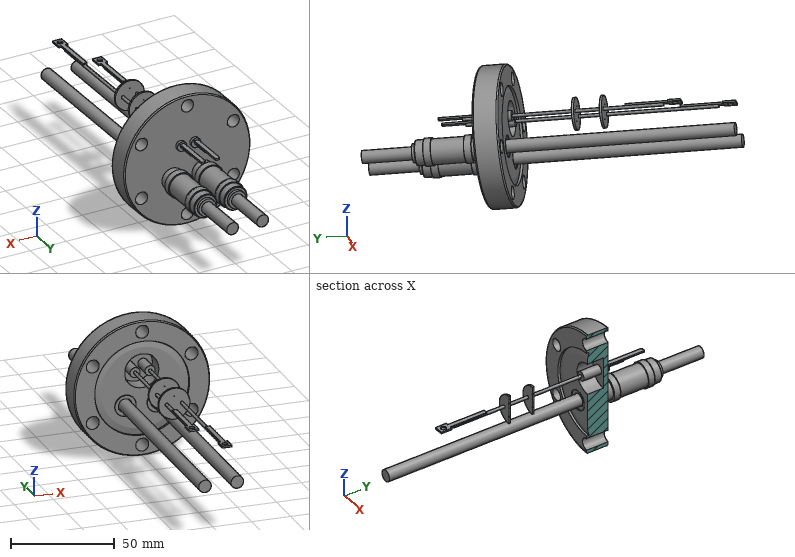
import cadquery as cq


flange_diameter = 69.8
flange_thickness = 12.7
edge_chamfer = 0.5
edge_chamfer_length = 0.7
bolt_count = 6
bolt_circle_diameter = 58.5
bolt_hole_diameter = 6.6

groove_diameter = 48.6
knife_edge_diameter = 41.8
knife_edge_depth = 0.5
groove_depth = 1.3

rod_offset_x = 8.3
rod_offset_z = -rod_offset_x
rod_diameter = 6.5
rod_front = -111.8
rod_length = 184.2
rod_recess_diameter = 10.9
rod_recess_depth = 0.5
rod_bore_diameter = 7.0
seal_chamfer = 0.4
neck_diameter = 11.6
ceramic_diameter = 12.7
ring_diameter = 13.8
collar_diameter = 9.4
neck_end = 17.5
lower_ring_end = 21.2
upper_ring_start = 37.5
upper_ring_end = 41.2
cap_end = 45.7
collar_end = 47.3

wire_offset_x = 3.9
wire_offset_z = 8.8
wire_diameter = 1.7
wire_back = 24.0
pocket_diameter = 17.5
pocket_depth = 9.2
insulator_diameter = 5.2
insulator_front = -0.5
insulator_back = 14.4

disc_diameter = 16.0
disc_thickness = 1.1
disc_fronts = (-31.7, -45.5)
pinhole_diameter = 0.2

terminal_thickness = 1.0
terminal_top_z = 10.3
strip_width = 2.4
back_terminal_end = 36.0
back_terminal_chamfer = 0.5
front_strip_length = 21.4
head_length = 6.3
head_width = 5.0
head_hole_diameter = 2.8
head_hole_setback = 3.0
wire_overlap = 19.0
front_terminal_starts = {-1: -56.3, 1: -82.0}


def cylinder(diameter, y_start, y_end, x=0, z=0):
    """Round bar along Y."""
    base = cq.Workplane("XZ", origin=(x, y_start, z))
    return base.circle(diameter / 2).extrude(y_start - y_end)


def plate(width, y_start, y_end, x):
    """Flat strip along Y at the height of the terminals."""
    return (
        cq.Workplane("XY", origin=(x, (y_start + y_end) / 2, terminal_top_z - terminal_thickness))
        .rect(width, abs(y_end - y_start))
        .extrude(terminal_thickness)
    )


def flange():
    """Bolted disc with the sealing groove, wire pocket and rod bores."""
    knife_radius = knife_edge_diameter / 2
    groove_radius = groove_diameter / 2
    rim_radius = flange_diameter / 2
    body = (
        cq.Workplane("XY")
        .moveTo(0, knife_edge_depth)
        .lineTo(knife_radius, knife_edge_depth)
        .lineTo(groove_radius, groove_depth)
        .lineTo(groove_radius, 0)
        .lineTo(rim_radius - edge_chamfer, 0)
        .lineTo(rim_radius, edge_chamfer_length)
        .lineTo(rim_radius, flange_thickness - edge_chamfer_length)
        .lineTo(rim_radius - edge_chamfer, flange_thickness)
        .lineTo(0, flange_thickness)
        .close()
        .revolve(360, (0, 0), (0, 1))
    )
    bolt_holes = (
        cq.Workplane("XZ")
        .polarArray(bolt_circle_diameter / 2, 90, 360, bolt_count)
        .circle(bolt_hole_diameter / 2)
        .extrude(-flange_thickness)
    )
    pocket = cylinder(pocket_diameter, 0, knife_edge_depth + pocket_depth, 0, wire_offset_z)
    body = body.cut(bolt_holes).cut(pocket)
    recess_floor = knife_edge_depth + rod_recess_depth
    for side in (-1, 1):
        x = side * rod_offset_x
        body = body.cut(cylinder(rod_recess_diameter, 0, recess_floor, x, rod_offset_z))
        body = body.cut(cylinder(rod_bore_diameter, 0, flange_thickness, x, rod_offset_z))
    return body


def tube_line(side):
    """Rod with its stepped ceramic seal, which closes the rod bore on the back of the flange."""
    x = side * rod_offset_x
    sections = (
        (rod_diameter, rod_front, rod_front + rod_length),
        (neck_diameter, flange_thickness, neck_end),
        (ring_diameter, neck_end, lower_ring_end),
        (ceramic_diameter, lower_ring_end, upper_ring_start),
        (ring_diameter, upper_ring_start, upper_ring_end),
        (collar_diameter, cap_end, collar_end),
    )
    line = cylinder(ceramic_diameter, upper_ring_end, cap_end, x, rod_offset_z)
    line = line.faces(">Y").chamfer(seal_chamfer)
    for diameter, y_start, y_end in sections:
        line = line.union(cylinder(diameter, y_start, y_end, x, rod_offset_z))
    return line


def front_terminal(x, y_start):
    """Strip running forward to a wider head with a hole."""
    head_start = y_start - front_strip_length
    head_end = head_start - head_length
    strip = plate(strip_width, y_start, head_start, x)
    head = plate(head_width, head_start, head_end, x)
    hole = (
        cq.Workplane("XY", origin=(x, head_end + head_hole_setback, terminal_top_z))
        .circle(head_hole_diameter / 2)
        .extrude(-terminal_thickness)
    )
    return strip.union(head).cut(hole)


def wire_feedthrough(side):
    """Wire with its insulator and a terminal at each end."""
    x = side * wire_offset_x
    terminal_start = front_terminal_starts[side]
    wire = cylinder(wire_diameter, terminal_start - wire_overlap, wire_back, x, wire_offset_z)
    insulator = cylinder(insulator_diameter, insulator_front, insulator_back, x, wire_offset_z)
    back_terminal = plate(strip_width, insulator_back, back_terminal_end, x)
    back_terminal = back_terminal.edges("|Z and >Y and <X").chamfer(back_terminal_chamfer)
    return wire.union(insulator).union(back_terminal).union(front_terminal(x, terminal_start))


def spacer_disc(y_front):
    """Thin disc around both wires."""
    y_back = y_front + disc_thickness
    disc = cylinder(disc_diameter, y_front, y_back, 0, wire_offset_z)
    for offset in (-wire_offset_x, wire_offset_x):
        disc = disc.cut(cylinder(pinhole_diameter, y_front, y_back, 0, wire_offset_z + offset))
    return disc


result = flange()
for side in (-1, 1):
    result = result.union(tube_line(side)).union(wire_feedthrough(side))
for disc_front in disc_fronts:
    result = result.union(spacer_disc(disc_front))